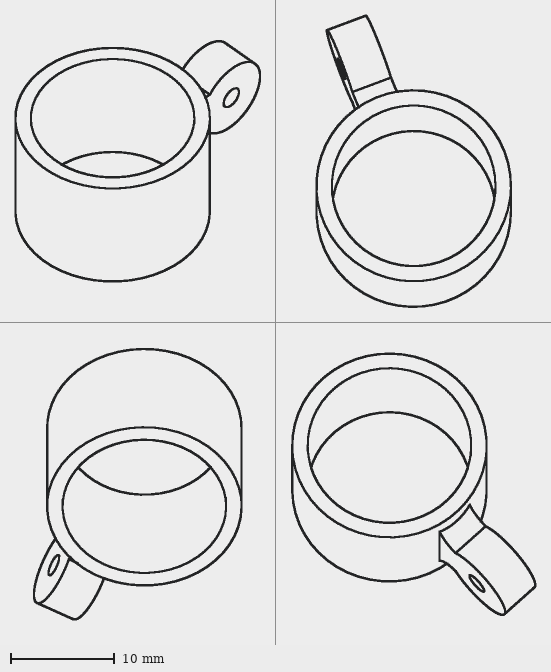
import cadquery as cq
import math

ring_diameter = 18.8
bore_diameter = 15.8
ring_height = 13.0

overall_length = 27.8
eyelet_diameter = 8.0
eyelet_width = 4.0
eyelet_hole_diameter = 2.1

neck_height = 5.35
flare_radius = 2.34

ring_radius = ring_diameter / 2
bore_radius = bore_diameter / 2
eyelet_radius = eyelet_diameter / 2
middle_z = ring_height / 2
eyelet_y = overall_length - ring_radius - eyelet_radius


def make_ring():
    return cq.Workplane("XY").circle(ring_radius).circle(bore_radius).extrude(ring_height)


def side_plane():
    """YZ plane with its origin on the eyelet axis."""
    return cq.Workplane("YZ", origin=(0, eyelet_y, middle_z))


def side_cylinder(radius):
    return side_plane().circle(radius).extrude(eyelet_width / 2, both=True)


def make_neck():
    """Neck whose quarter-round flares end inside the ring wall."""
    half_height = neck_height / 2
    neck_start = -math.sqrt(eyelet_radius**2 - half_height**2)
    neck_end = neck_start - flare_radius
    root_half_height = half_height + flare_radius
    arc_middle_y = neck_start - flare_radius * math.sin(math.pi / 4)
    arc_middle_z = root_half_height - flare_radius * math.cos(math.pi / 4)
    return (
        side_plane()
        .moveTo(0, half_height)
        .lineTo(neck_start, half_height)
        .threePointArc((arc_middle_y, arc_middle_z), (neck_end, root_half_height))
        .lineTo(neck_end, -root_half_height)
        .threePointArc((arc_middle_y, -arc_middle_z), (neck_start, -half_height))
        .lineTo(0, -half_height)
        .close()
        .extrude(eyelet_width / 2, both=True)
    )


eyelet = side_cylinder(eyelet_radius)
eyelet_hole = side_cylinder(eyelet_hole_diameter / 2)
result = make_ring().union(make_neck()).union(eyelet).cut(eyelet_hole)